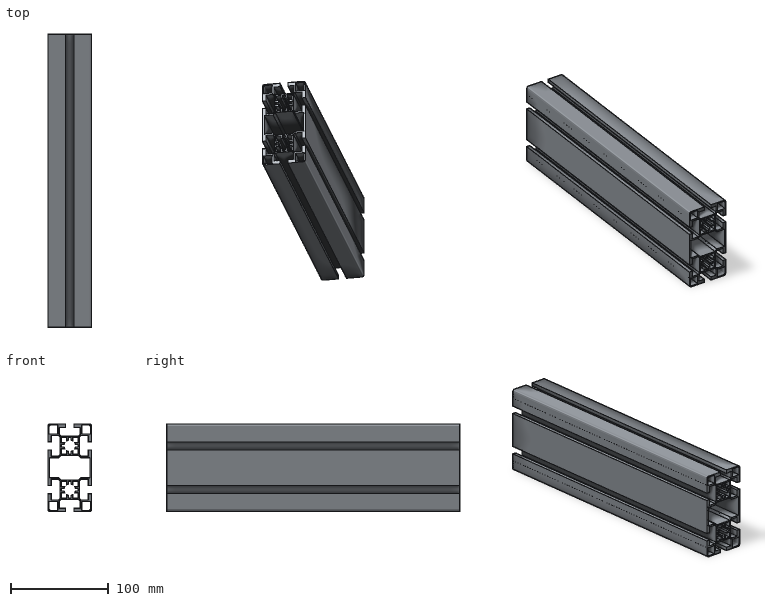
import cadquery as cq
import math

cell = 45.0
length = 300.0
corner_radius = 2.7
half_cell = cell / 2

slot_opening = 8.2
lip_thickness = 3.8
slot_half_width = 10.5
slot_floor = 10.0

web = 1.8
core_wall = 1.4
corner_skin = 1.25
side_skin = 2.0
diagonal_web = 1.4
diagonal_offset = diagonal_web / math.sqrt(2)

chamber_inner = slot_half_width + web
chamber_outer = half_cell - corner_skin
chamber_radius = 2.0

core_half_width = slot_floor - core_wall
core_bore_radius = 5.9
fin_inner = 1.25
fin_outer = 3.2

middle_half_width = half_cell - side_skin
middle_side_half_height = half_cell - slot_half_width - web
middle_core_half_height = half_cell - slot_floor
middle_core_half_width = slot_floor - diagonal_offset
middle_step = middle_core_half_height - middle_side_half_height


def extrude(outline):
    """Prism of a closed XZ outline over the full length, centred on Y."""
    return outline.extrude(length / 2, both=True)


def prism(points):
    return extrude(cq.Workplane("XZ").polyline(points).close())


def box(width, height):
    return extrude(cq.Workplane("XZ").rect(width, height))


def t_slot():
    """T-slot opening towards +Z, bevelled along the diagonal webs at its floor corners."""
    lip_bottom = half_cell - lip_thickness
    mouth = slot_opening / 2
    right_half = [
        (mouth, half_cell),
        (mouth, lip_bottom),
        (slot_half_width, lip_bottom),
        (slot_half_width, slot_half_width + diagonal_offset),
        (slot_floor - diagonal_offset, slot_floor),
    ]
    left_half = [(-x, z) for x, z in reversed(right_half)]
    return prism(right_half + left_half)


def corner_chamber():
    """Square hollow in the +X +Z corner of a cell, rounded at the outer corner."""
    size = chamber_outer - chamber_inner
    centre = (chamber_outer + chamber_inner) / 2
    chamber = box(size, size).translate((centre, 0, centre))
    outer_edge = cq.selectors.NearestToPointSelector((chamber_outer, 0, chamber_outer))
    return chamber.edges(outer_edge).fillet(chamber_radius)


def screw_core():
    """Square core hollow, leaving fins that end on the bore circle."""
    fins = None
    fin_width = fin_outer - fin_inner
    fin_centre = (fin_outer + fin_inner) / 2
    across = 2 * core_half_width
    for side in (-1, 1):
        upright = box(fin_width, across).translate((side * fin_centre, 0, 0))
        level = box(across, fin_width).translate((0, 0, side * fin_centre))
        pair = upright.union(level)
        fins = pair if fins is None else fins.union(pair)
    bore = extrude(cq.Workplane("XZ").circle(core_bore_radius))
    return box(across, across).cut(fins.cut(bore))


def middle_chamber():
    """Hollow between the two cells, stepped out to the core walls."""
    shoulder = middle_core_half_width + middle_step
    upper = [
        (-middle_half_width, middle_side_half_height),
        (-shoulder, middle_side_half_height),
        (-middle_core_half_width, middle_core_half_height),
        (middle_core_half_width, middle_core_half_height),
        (shoulder, middle_side_half_height),
        (middle_half_width, middle_side_half_height),
    ]
    lower = [(x, -z) for x, z in reversed(upper)]
    return prism(upper + lower)


def cell_cuts():
    """All hollows of the upper cell, centred on its own axis."""
    origin = (0, 0, 0)
    y_axis_end = (0, 1, 0)
    top_slot = t_slot()
    right_slot = top_slot.rotate(origin, y_axis_end, 90)
    chamber = corner_chamber()
    return [
        top_slot,
        right_slot,
        right_slot.mirror("YZ"),
        chamber,
        chamber.mirror("YZ"),
        screw_core(),
    ]


result = box(cell, 2 * cell).edges("|Y").fillet(corner_radius)
result = result.cut(middle_chamber())
for hollow in cell_cuts():
    upper_hollow = hollow.translate((0, 0, half_cell))
    result = result.cut(upper_hollow).cut(upper_hollow.mirror("XY"))